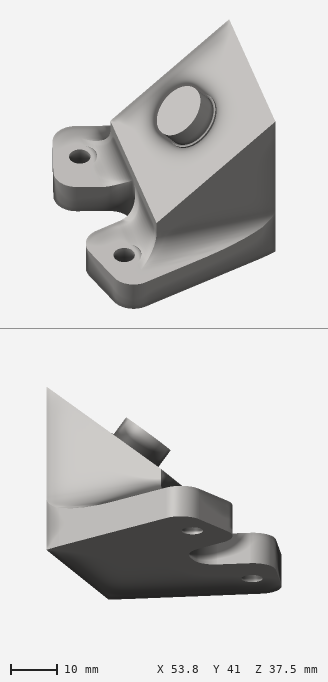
import cadquery as cq
import math

block_width = 35.0
block_depth = 26.85
height = 37.5
slope_angle = 40.0
base_thickness = 7.0
flare_radius = 5.0
cut_margin = 0.55

overall_width = 53.75
overall_depth = 41.0
corner_radius = 5.0
outer_arc_y = -33.35
inner_arc_x = 12.3
side_bend_y = -3.4
notch_half_width = 4.4

hole_x = 16.85
hole_y = -33.95
hole_diameter = 4.6
spotface_diameter = 7.4

stub_diameter = 12.0
stub_height = 5.0
collar_diameter = 13.0
collar_height = 0.45

half_width = block_width / 2
slope_drop = block_depth * math.tan(math.radians(slope_angle))
front_height = height - slope_drop
flare_top = base_thickness + flare_radius
flare_half_width = half_width + flare_radius
flare_front = -block_depth - flare_radius

outer_arc_x = overall_width / 2 - corner_radius
inner_arc_y = corner_radius - overall_depth
leg_angle = math.atan2(outer_arc_y - inner_arc_y, outer_arc_x - inner_arc_x)
corner_long = corner_radius * (math.cos(leg_angle) + math.sin(leg_angle))
corner_short = corner_radius * (math.cos(leg_angle) - math.sin(leg_angle))

outer_corner = (outer_arc_x + corner_long, outer_arc_y - corner_short)
inner_corner = (inner_arc_x - corner_short, inner_arc_y - corner_long)
notch_corner = (notch_half_width, -block_depth)
side_bend = (outer_corner[0] - (side_bend_y - outer_corner[1]) * math.tan(leg_angle), side_bend_y)

plate_half_width = outer_corner[0] + cut_margin
plate_front = inner_corner[1] - cut_margin
diagonal = math.sqrt(0.5)


def make_outline_prism():
    """Full-height prism on the symmetric base outline, with rounded leg and notch corners."""
    right = [(half_width, 0), side_bend, outer_corner, inner_corner, notch_corner]
    left = [(-x, y) for x, y in reversed(right)]
    prism = cq.Workplane("XY").polyline(right + left).close().extrude(height)
    rounded = right[2:] + left[:3]
    for x, y in rounded:
        edge = cq.selectors.NearestToPointSelector((x, y, height / 2))
        prism = prism.edges("|Z").edges(edge).fillet(corner_radius)
    return prism


def make_side_profile():
    """Base plate, front flare and sloped block, drawn in YZ and extended across X."""
    arc_mid_y = flare_front + flare_radius * diagonal
    arc_mid_z = flare_top - flare_radius * diagonal
    return (
        cq.Workplane("YZ")
        .moveTo(0, 0)
        .lineTo(plate_front, 0)
        .lineTo(plate_front, base_thickness)
        .lineTo(flare_front, base_thickness)
        .threePointArc((arc_mid_y, arc_mid_z), (-block_depth, flare_top))
        .lineTo(-block_depth, front_height)
        .lineTo(0, height)
        .close()
        .extrude(plate_half_width, both=True)
    )


def make_front_profile():
    """Base plate, side flares and block, drawn in XZ and extended along Y."""
    arc_mid_x = flare_half_width - flare_radius * diagonal
    arc_mid_z = flare_top - flare_radius * diagonal
    return (
        cq.Workplane("XZ")
        .moveTo(-plate_half_width, 0)
        .lineTo(plate_half_width, 0)
        .lineTo(plate_half_width, base_thickness)
        .lineTo(flare_half_width, base_thickness)
        .threePointArc((arc_mid_x, arc_mid_z), (half_width, flare_top))
        .lineTo(half_width, height)
        .lineTo(-half_width, height)
        .lineTo(-half_width, flare_top)
        .threePointArc((-arc_mid_x, arc_mid_z), (-flare_half_width, base_thickness))
        .lineTo(-plate_half_width, base_thickness)
        .close()
        .extrude(-plate_front)
    )


def make_body():
    """The crossed profiles meet in mitred flares, trimmed to the base outline."""
    return make_side_profile().intersect(make_front_profile()).intersect(make_outline_prism())


def cut_mounting_holes(body):
    """Through holes, with spotfaces that clear the flare down to the plate top."""
    hole_points = [(-hole_x, hole_y), (hole_x, hole_y)]
    holes = cq.Workplane("XY").pushPoints(hole_points).circle(hole_diameter / 2).extrude(height)
    spotfaces = (
        cq.Workplane("XY", origin=(0, 0, base_thickness))
        .pushPoints(hole_points)
        .circle(spotface_diameter / 2)
        .extrude(flare_radius)
    )
    return body.cut(holes).cut(spotfaces)


def make_stub():
    """Round stub with a thin collar, square to the slope at its centre."""
    angle = math.radians(slope_angle)
    slope_plane = cq.Plane(
        origin=(0, -block_depth / 2, height - slope_drop / 2),
        xDir=(1, 0, 0),
        normal=(0, -math.sin(angle), math.cos(angle)),
    )
    stub = cq.Workplane(slope_plane).circle(stub_diameter / 2).extrude(stub_height)
    collar = cq.Workplane(slope_plane).circle(collar_diameter / 2).extrude(collar_height)
    return stub.union(collar)


result = cut_mounting_holes(make_body()).union(make_stub())